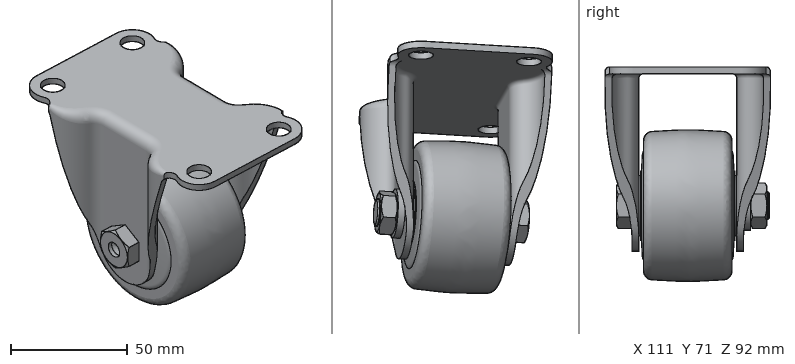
import cadquery as cq
import math


SHEET = 3.0
PLATE_LENGTH = 111.0
CORNER_RADIUS = 10.0
HOLE_DIAMETER = 10.5
HOLE_X = PLATE_LENGTH / 2 - CORNER_RADIUS
HOLE_Y = 23.5
NOTCH_RADIUS = 4.0
NOTCH_X = 39.7
NOTCH_Y = HOLE_Y + math.sqrt((CORNER_RADIUS + NOTCH_RADIUS) ** 2 - (HOLE_X - NOTCH_X) ** 2)

LEG_FLAT_HALF = 13.0
LEG_FLAT_Y = 24.0
LEG_FLARE_Y = 35.5
FLARE_ANGLE = math.radians(60)
INNER_ARC_RADIUS = 6.5
OUTER_ARC_RADIUS = (LEG_FLARE_Y - LEG_FLAT_Y) / (1 - math.cos(FLARE_ANGLE)) - INNER_ARC_RADIUS
INFLECTION_X = LEG_FLAT_HALF + INNER_ARC_RADIUS * math.sin(FLARE_ANGLE)
FLARE_X = INFLECTION_X + OUTER_ARC_RADIUS * math.sin(FLARE_ANGLE)
BEND_RADIUS = 5.0
BEND_END_RADIUS = 0.9
BEND_INSIDE_RADIUS = BEND_RADIUS - SHEET

LEG_TAPER = math.radians(17.2)
LEG_END_RADIUS = 16.0
LEG_END_DROP = 3.5
LEG_ROOT_FILLET = 3.0
MARGIN = 1.1

OVERALL_HEIGHT = 92.0
WHEEL_RADIUS = 32.5
AXLE_Z = WHEEL_RADIUS - OVERALL_HEIGHT
TREAD_HALF_WIDTH = 19.0
CROWN_DROP = 1.0
TREAD_EDGE_RADIUS = 4.0
CORE_RADIUS = 23.3
CORE_RIM_RADIUS = 21.4
CORE_RIM_Y = 19.5
CORE_SHOULDER_RADIUS = 14.9
CORE_SHOULDER_FOOT_Y = 19.9
CORE_SHOULDER_Y = 20.2
HUB_RADIUS = 13.0
HUB_FACE_Y = LEG_FLAT_Y - SHEET

BOLT_DIAMETER = 12.0
BOLT_END_Y = 35.0
BOLT_END_CHAMFER = 0.7
HEX_ACROSS_FLATS = 17.0
HEX_CORNER_RADIUS = HEX_ACROSS_FLATS / math.sqrt(3)
HEX_FACE_RADIUS = 8.3
HEX_CHAMFER_ANGLE = math.radians(30)
HEAD_HEIGHT = 6.7
NUT_HEIGHT = 7.0
WASHER_THICKNESS = 3.0
WASHER_DIAMETER = 21.1
HEAD_HOLE_DIAMETER = 7.0
HEAD_HOLE_DEPTH = 2.0
DRILL_TIP_ANGLE = math.radians(118)


def cylinder_y(radius, y_start, y_end):
    """Cylinder about the axle line between two Y positions."""
    base = cq.Workplane("XZ", origin=(0, y_start, AXLE_Z))
    return base.circle(radius).extrude(y_start - y_end)


def revolve_y(points):
    """Solid turned about the axle line from (radius, y) points."""
    profile = cq.Workplane("XY", origin=(0, 0, AXLE_Z)).polyline(points).close()
    return profile.revolve(360, (0, 0, 0), (0, 1, 0))


def wall_block(inset, top_z):
    """Solid block between the two S-shaped walls, inset from their outer faces, below top_z."""
    flat_y = LEG_FLAT_Y - inset
    flare_y = LEG_FLARE_Y - inset
    inner_radius = INNER_ARC_RADIUS + inset
    outer_radius = OUTER_ARC_RADIUS - inset
    half = FLARE_ANGLE / 2

    inner_mid = (
        LEG_FLAT_HALF + inner_radius * math.sin(half),
        flat_y + inner_radius * (1 - math.cos(half)),
    )
    inflection = (
        LEG_FLAT_HALF + inner_radius * math.sin(FLARE_ANGLE),
        flat_y + inner_radius * (1 - math.cos(FLARE_ANGLE)),
    )
    outer_end_rise = math.sqrt(outer_radius**2 - (NOTCH_X - FLARE_X) ** 2)
    outer_end = (NOTCH_X, flare_y - outer_radius + outer_end_rise)

    quarter = (
        cq.Workplane("XY", origin=(0, 0, top_z))
        .lineTo(0, flat_y)
        .lineTo(LEG_FLAT_HALF, flat_y)
        .threePointArc(inner_mid, inflection)
        .threePointArc((FLARE_X, flare_y), outer_end)
        .lineTo(NOTCH_X, 0)
        .close()
        .extrude(-OVERALL_HEIGHT)
    )
    right_half = quarter.union(quarter.mirror("XZ"))
    return right_half.union(right_half.mirror("YZ")).clean()


def top_edges(block):
    """The two smooth chains of edges that run along the tops of the walls."""
    return block.faces(">Z").edges("not |Y")


def bend_radius_at(x):
    """Outside bend radius at either end of an edge: full to the inflection, small at the far end."""
    if abs(x) < FLARE_X:
        return BEND_RADIUS
    return BEND_END_RADIUS


def round_outside_bends(block):
    """Round the two long top edges of the block with the varying bend radius."""
    solid = block.val()
    fillet = cq.occ_impl.shapes.BRepFilletAPI_MakeFillet(solid.wrapped)
    middle_edges = [edge for edge in top_edges(block).vals() if abs(edge.Center().x) < LEG_FLAT_HALF / 2]
    for edge in middle_edges:
        fillet.Add(edge.wrapped)
    for contour in range(1, fillet.NbContours() + 1):
        edges = [cq.Edge(fillet.Edge(contour, i)) for i in range(1, fillet.NbEdges(contour) + 1)]
        forward = edges[0].Center().x < edges[-1].Center().x
        for i, edge in enumerate(edges, start=1):
            ends = sorted((edge.startPoint().x, edge.endPoint().x), reverse=not forward)
            fillet.SetRadius(bend_radius_at(ends[0]), bend_radius_at(ends[1]), contour, i)
    return cq.Workplane(cq.Shape.cast(fillet.Shape()).Solids()[0])


def leg_side_profile():
    """Tapered, round-ended leg outline with plate, extruded over the full depth."""
    sin_t = math.sin(LEG_TAPER)
    cos_t = math.cos(LEG_TAPER)
    end_z = AXLE_Z - LEG_END_DROP
    tangent = (LEG_END_RADIUS * cos_t, end_z - LEG_END_RADIUS * sin_t)
    root_x = tangent[0] + (-SHEET - tangent[1]) * math.tan(LEG_TAPER)
    half_depth = LEG_FLARE_Y + MARGIN

    leg = (
        cq.Workplane("XZ")
        .moveTo(-PLATE_LENGTH / 2, 0)
        .lineTo(PLATE_LENGTH / 2, 0)
        .lineTo(PLATE_LENGTH / 2, -SHEET)
        .lineTo(root_x, -SHEET)
        .lineTo(*tangent)
        .threePointArc((0, end_z - LEG_END_RADIUS), (-tangent[0], tangent[1]))
        .lineTo(-root_x, -SHEET)
        .lineTo(-PLATE_LENGTH / 2, -SHEET)
        .close()
        .extrude(half_depth, both=True)
    )
    near_roots = cq.selectors.BoxSelector(
        (-root_x - MARGIN, -half_depth, -SHEET - MARGIN),
        (root_x + MARGIN, half_depth, -SHEET + MARGIN),
    )
    return leg.edges("|Y").edges(near_roots).fillet(LEG_ROOT_FILLET)


def plate_ends():
    """Flat plate beyond the notch centres, with corner arcs about the holes."""
    lean = math.asin((HOLE_X - NOTCH_X) / (CORNER_RADIUS + NOTCH_RADIUS))
    touch = (HOLE_X - CORNER_RADIUS * math.sin(lean), HOLE_Y + CORNER_RADIUS * math.cos(lean))
    corner_mid_angle = (math.pi / 2 + lean) / 2
    corner_mid = (
        HOLE_X + CORNER_RADIUS * math.cos(corner_mid_angle),
        HOLE_Y + CORNER_RADIUS * math.sin(corner_mid_angle),
    )
    quarter = (
        cq.Workplane("XY")
        .moveTo(NOTCH_X, 0)
        .lineTo(NOTCH_X, NOTCH_Y)
        .lineTo(*touch)
        .threePointArc(corner_mid, (PLATE_LENGTH / 2, HOLE_Y))
        .lineTo(PLATE_LENGTH / 2, 0)
        .close()
        .extrude(-SHEET)
    )
    right_end = quarter.union(quarter.mirror("XZ"))
    return right_end.union(right_end.mirror("YZ")).clean()


def make_bracket():
    """Top plate and two flared legs bent from one sheet."""
    outside = round_outside_bends(wall_block(0, 0))
    inside = wall_block(SHEET, -SHEET)
    inside = top_edges(inside).fillet(BEND_INSIDE_RADIUS)
    bent = outside.cut(inside).intersect(leg_side_profile())
    bracket = bent.union(plate_ends()).cut(notches())

    corner_points = [(sx * HOLE_X, sy * HOLE_Y) for sx in (-1, 1) for sy in (-1, 1)]
    mounting_holes = cq.Workplane("XY").pushPoints(corner_points).circle(HOLE_DIAMETER / 2).extrude(-SHEET)
    axle_hole = cylinder_y(BOLT_DIAMETER / 2, -LEG_FLARE_Y, LEG_FLARE_Y)
    return bracket.cut(mounting_holes).cut(axle_hole)


def notches():
    """Round notches that part each mounting corner from the leg beside it."""
    points = [(sx * NOTCH_X, sy * NOTCH_Y) for sx in (-1, 1) for sy in (-1, 1)]
    return cq.Workplane("XY").pushPoints(points).circle(NOTCH_RADIUS).extrude(-2 * SHEET)


def make_wheel():
    """Crowned tread on a core that stands proud on both sides, bored for the bolt."""
    edge_radius = WHEEL_RADIUS - CROWN_DROP
    tread = (
        cq.Workplane("XY", origin=(0, 0, AXLE_Z))
        .moveTo(0, -TREAD_HALF_WIDTH)
        .lineTo(edge_radius, -TREAD_HALF_WIDTH)
        .threePointArc((WHEEL_RADIUS, 0), (edge_radius, TREAD_HALF_WIDTH))
        .lineTo(0, TREAD_HALF_WIDTH)
        .close()
        .revolve(360, (0, 0, 0), (0, 1, 0))
        .faces("<Y or >Y")
        .edges()
        .fillet(TREAD_EDGE_RADIUS)
    )
    rim_width = CORE_RADIUS - CORE_RIM_RADIUS
    rim_height = CORE_RIM_Y - TREAD_HALF_WIDTH
    rim_round = (rim_width**2 + rim_height**2) / (2 * rim_height)
    rim_half_angle = math.asin(rim_width / rim_round) / 2
    rim_mid = (
        CORE_RIM_RADIUS + rim_round * math.sin(rim_half_angle),
        CORE_RIM_Y - rim_round * (1 - math.cos(rim_half_angle)),
    )
    half_core = (
        cq.Workplane("XY", origin=(0, 0, AXLE_Z))
        .lineTo(CORE_RADIUS, 0)
        .lineTo(CORE_RADIUS, TREAD_HALF_WIDTH)
        .threePointArc(rim_mid, (CORE_RIM_RADIUS, CORE_RIM_Y))
        .lineTo(CORE_SHOULDER_RADIUS, CORE_SHOULDER_FOOT_Y)
        .lineTo(CORE_SHOULDER_RADIUS, CORE_SHOULDER_Y)
        .lineTo(HUB_RADIUS, CORE_SHOULDER_Y)
        .lineTo(HUB_RADIUS, HUB_FACE_Y)
        .lineTo(0, HUB_FACE_Y)
        .close()
        .revolve(360, (0, 0, 0), (0, 1, 0))
    )
    core = half_core.union(half_core.mirror("XZ"))
    bore = cylinder_y(BOLT_DIAMETER / 2, -HUB_FACE_Y, HUB_FACE_Y)
    return tread.union(core).cut(bore)


def hexagon(y_start, y_end, chamfer_start, chamfer_end):
    """Hexagon about the axle, corners up and down, with the chosen end faces chamfered."""
    prism = (
        cq.Workplane("XZ", origin=(0, y_start, AXLE_Z))
        .transformed(rotate=(0, 0, 90))
        .polygon(6, 2 * HEX_CORNER_RADIUS)
        .extrude(y_start - y_end)
    )
    drop = (HEX_CORNER_RADIUS - HEX_FACE_RADIUS) * math.tan(HEX_CHAMFER_ANGLE)
    start = [(HEX_CORNER_RADIUS, y_start)]
    if chamfer_start:
        start = [(HEX_FACE_RADIUS, y_start), (HEX_CORNER_RADIUS, y_start + drop)]
    end = [(HEX_CORNER_RADIUS, y_end)]
    if chamfer_end:
        end = [(HEX_CORNER_RADIUS, y_end - drop), (HEX_FACE_RADIUS, y_end)]
    return prism.intersect(revolve_y([(0, y_start)] + start + end + [(0, y_end)]))


def make_axle():
    """Hexagon bolt with its washer and nut as one solid."""
    head_face_y = -LEG_FLAT_Y - HEAD_HEIGHT
    nut_y = LEG_FLAT_Y + WASHER_THICKNESS
    shank = (
        cylinder_y(BOLT_DIAMETER / 2, -LEG_FLAT_Y, BOLT_END_Y)
        .faces(">Y")
        .edges()
        .chamfer(BOLT_END_CHAMFER)
    )
    head = hexagon(head_face_y, -LEG_FLAT_Y, True, False)
    washer = cylinder_y(WASHER_DIAMETER / 2, LEG_FLAT_Y, nut_y)
    nut = hexagon(nut_y, nut_y + NUT_HEIGHT, True, True)

    hole_radius = HEAD_HOLE_DIAMETER / 2
    hole_bottom_y = head_face_y + HEAD_HOLE_DEPTH
    tip_y = hole_bottom_y + hole_radius / math.tan(DRILL_TIP_ANGLE / 2)
    drilled_hole = revolve_y(
        [
            (0, head_face_y),
            (hole_radius, head_face_y),
            (hole_radius, hole_bottom_y),
            (0, tip_y),
        ]
    )
    return shank.union(head).union(washer).union(nut).cut(drilled_hole)


bracket = make_bracket()
wheel = make_wheel()
axle = make_axle()
result = cq.Compound.makeCompound([bracket.val(), wheel.val(), axle.val()])